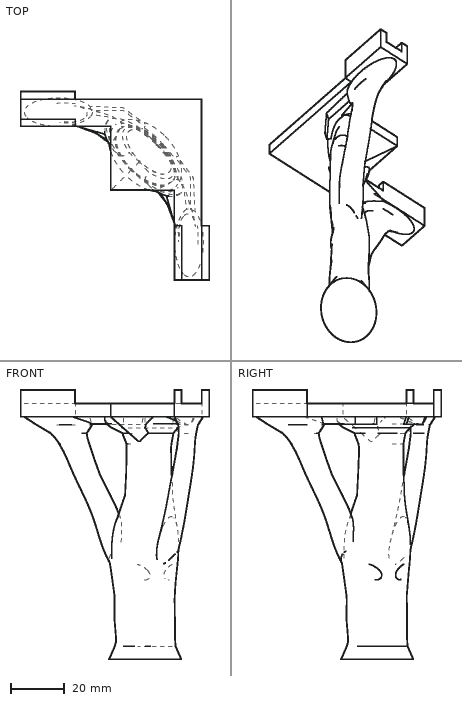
import cadquery as cq

MIRROR_NORMAL = cq.Vector(1, -1, 0)

SIDE = 70.0
OUTER = 20.0
HEIGHT = 100.0
PLATE_BOTTOM = 90.0
PLATE_TOP = 95.0
PLATE_MIN = -16.6
PLATE_MAX = 17.1
ARM_WIDTH = 13.0
RAIL_LENGTH = 20.2
INNER_RAIL = 2.7

ARM_TIP = OUTER - SIDE
ARM_INNER = OUTER - ARM_WIDTH

FOOT = (0, 16, 10.3, -3.8)
TRUNK = [
    (5, 14.1, 7.5, -3.8),
    (11, 13.9, 7.4, -3.8),
    (20, 14.1, 7.2, -4.0),
    (34, 16.2, 6.8, -4.3),
    (46, 16.4, 6.6, -4.1),
    (57, 12.3, 5.6, -2.8),
    (67, 10.8, 5.1, -2.4),
    (75, 10.6, 4.9, -2.4),
    (80, 10.8, 4.9, -2.4),
]
TRUNK_HEAD = [
    (84, 12.4, 5.3, -2.8),
    (86, 16.5, 6.0, -4.0),
    (87.5, 19.0, 7.0, -4.0),
    (PLATE_BOTTOM, 20.0, 8.0, -4.0),
]

BRANCH = [
    (28, -9.0, 1.2, 5.5, 4.2),
    (38, -12.8, 3.7, 5.3, 4.2),
    (48, -16.8, 6.1, 4.9, 4.1),
    (56, -19.4, 7.7, 5.1, 3.9),
    (64, -23.3, 9.1, 4.9, 3.8),
    (74, -27.6, 10.7, 5.1, 3.6),
    (80, -30.1, 11.4, 5.6, 3.3),
    (84, -32.2, 11.9, 6.8, 3.3),
]
BRANCH_HEAD = [
    (87, -33.8, 12.1, 10.3, 3.7),
    (PLATE_BOTTOM, -36.0, 12.4, 12.7, 5.3),
]

WEB_THICKNESS = 2.7
WEB_OUTLINE = [(-34, 9), (-29, 7), (-16.6, 3.5), (-8, 2), (-4, 8), (-12, 14), (-34, 15)]
WEB_UNDERSIDE = [(-34, 12.4), (-29, 12.2), (-16.6, 10.5), (-8, 4), (-4, 7), (-12, 13), (-34, 13)]

GUSSET_LEG = 21.6
GUSSET_TIP = -6.4
GUSSET_TIP_LEG = 11.4
GUSSET_TIP_HEIGHT = 81.0


def block(x_min, x_max, y_min, y_max, z_min, z_max):
    """Box given by its limits."""
    return cq.Workplane(
        "XY", origin=(x_min, y_min, z_min)
    ).box(x_max - x_min, y_max - y_min, z_max - z_min, centered=False)


def mirrored_pair(body):
    """The body together with its mirror image about x = y."""
    return body.union(body.mirror(MIRROR_NORMAL))


def loft_wires(wires, ruled=False):
    """Solid through stacked outlines, smooth or with straight sides."""
    return cq.Workplane(cq.Solid.makeLoft(wires, ruled))


def trunk_section(height, half_length, half_depth, centre):
    """Ellipse whose long axis lies across the x = y diagonal."""
    return cq.Wire.makeEllipse(
        half_length,
        half_depth,
        center=cq.Vector(centre, centre, height),
        normal=cq.Vector(0, 0, 1),
        xDir=MIRROR_NORMAL,
    )


def branch_section(height, x, y, half_length, half_width):
    """Ellipse whose long axis runs along the -X arm."""
    return cq.Wire.makeEllipse(
        half_length,
        half_width,
        center=cq.Vector(x, y, height),
        normal=cq.Vector(0, 0, 1),
        xDir=cq.Vector(1, 0, 0),
    )


def make_plate():
    square = block(PLATE_MIN, PLATE_MAX, PLATE_MIN, PLATE_MAX, PLATE_BOTTOM, PLATE_TOP)
    arm = block(ARM_TIP, PLATE_MAX, ARM_INNER, PLATE_MAX, PLATE_BOTTOM, PLATE_TOP)
    rail_end = ARM_TIP + RAIL_LENGTH
    channel = block(ARM_TIP, rail_end, ARM_INNER, OUTER, PLATE_BOTTOM, HEIGHT).cut(
        block(ARM_TIP, rail_end, ARM_INNER + INNER_RAIL, PLATE_MAX, PLATE_TOP, HEIGHT)
    )
    return square.union(mirrored_pair(arm.union(channel)))


def make_trunk():
    stem = [trunk_section(*row) for row in TRUNK]
    head = [trunk_section(*row) for row in TRUNK_HEAD]
    foot = loft_wires([trunk_section(*FOOT), stem[0]], ruled=True)
    body = foot.union(loft_wires(stem))
    return body.union(loft_wires([stem[-1]] + head, ruled=True))


def make_branch():
    limb = [branch_section(*row) for row in BRANCH]
    head = [branch_section(*row) for row in BRANCH_HEAD]
    return loft_wires(limb).union(loft_wires([limb[-1]] + head, ruled=True))


def flat_polygon(corners, height):
    """Closed horizontal outline through the (x, y) corners."""
    return cq.Wire.makePolygon([cq.Vector(x, y, height) for x, y in corners], close=True)


def make_web():
    underside = flat_polygon(WEB_UNDERSIDE, PLATE_BOTTOM - WEB_THICKNESS)
    return loft_wires([underside, flat_polygon(WEB_OUTLINE, PLATE_BOTTOM)], ruled=True)


def corner_triangle(corner, leg, height):
    """Right triangle with equal legs along X and Y from a corner on the diagonal."""
    return flat_polygon([(corner, corner), (corner + leg, corner), (corner, corner + leg)], height)


def make_gusset():
    top = corner_triangle(PLATE_MIN, GUSSET_LEG, PLATE_BOTTOM)
    tip = corner_triangle(GUSSET_TIP, GUSSET_TIP_LEG, GUSSET_TIP_HEIGHT)
    return loft_wires([tip, top], ruled=True)


support = make_trunk().union(mirrored_pair(make_branch()))
support = support.union(mirrored_pair(make_web())).union(make_gusset())
result = make_plate().union(support)